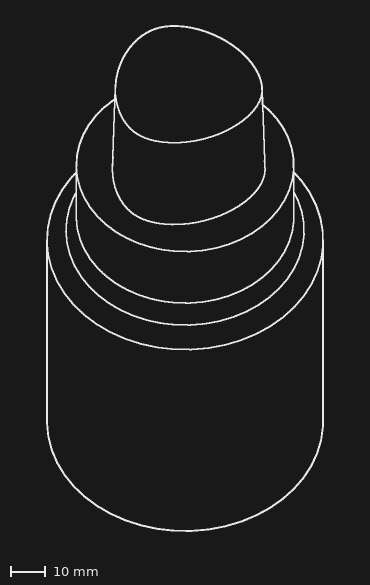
import cadquery as cq
import math

total_height = 165.0
body_diameter = 80.0
collar_diameter = 63.0

base_taper_top = 4.8
body_top = 91.4
shoulder_break = 95.9
shoulder_top = 102.5
collar_top = 127.0

base_flat_radius = 22.3
shoulder_break_radius = 34.5

shank_root_radius = 22.1
shank_tip_radius = 21.3
lobe_eccentricity = 1.2
curve_samples = 48


def make_body():
    """Revolve the stepped round body about Z."""
    body_radius = body_diameter / 2
    collar_radius = collar_diameter / 2
    profile = [
        (0, 0),
        (base_flat_radius, 0),
        (body_radius, base_taper_top),
        (body_radius, body_top),
        (shoulder_break_radius, shoulder_break),
        (collar_radius, shoulder_top),
        (collar_radius, collar_top),
        (0, collar_top),
    ]
    return cq.Workplane("XZ").polyline(profile).close().revolve(360, (0, 0), (0, 1))


def lobed_points(mean_radius):
    """Points around a constant-width curve, starting at the lobe on -Y."""
    points = []
    for i in range(curve_samples):
        angle = 2 * math.pi * i / curve_samples
        along_lobe = (
            mean_radius * math.cos(angle)
            + 2 * lobe_eccentricity * math.cos(2 * angle)
            - lobe_eccentricity * math.cos(4 * angle)
        )
        across_lobe = (
            mean_radius * math.sin(angle)
            - 2 * lobe_eccentricity * math.sin(2 * angle)
            - lobe_eccentricity * math.sin(4 * angle)
        )
        points.append((across_lobe, -along_lobe))
    return points


def make_shank():
    """Loft the lobed shank from its root on the collar to its smaller tip."""
    return (
        cq.Workplane("XY")
        .workplane(offset=collar_top)
        .spline(lobed_points(shank_root_radius), periodic=True)
        .close()
        .workplane(offset=total_height - collar_top)
        .spline(lobed_points(shank_tip_radius), periodic=True)
        .close()
        .loft(ruled=True, combine=True)
    )


result = make_body().union(make_shank())